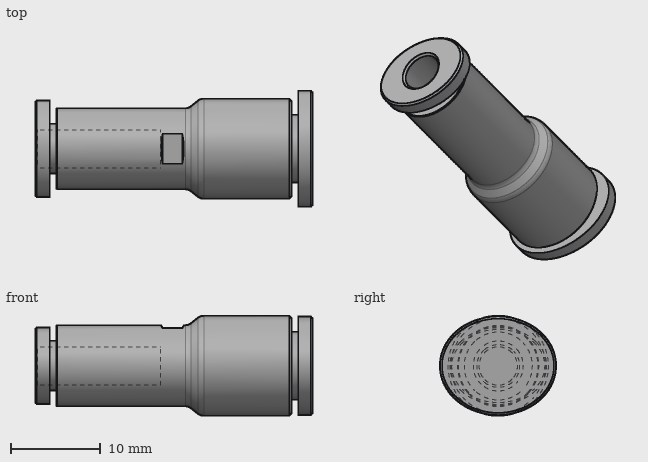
import cadquery as cq
import math

length = 31.05

small_dia = 9.07
large_dia = 11.2
body_start = 2.35
body_end = 28.7
small_edge_chamfer = 0.1
large_edge_chamfer = 0.3

shoulder_start = 17.15
shoulder_end = 18.47
shoulder_radius = 1.0
selection_margin = 0.03

collar_thickness = 1.65
small_collar_width = 10.85
small_collar_height = 8.6
small_collar_chamfer = 0.22
large_collar_width = 13.0
large_collar_height = 11.02
large_collar_chamfer = 0.25
small_neck_dia = 5.6
large_neck_dia = 7.6

socket_dia = 4.3
socket_depth = 13.97
socket_chamfer = 0.25

flat_start = 14.25
flat_end = 16.45
flat_height = 4.22
flat_wall_angle = 30.0


def rod(dia, start, end):
    """Round rod on the X axis."""
    return cq.Workplane("YZ", origin=(start, 0, 0)).circle(dia / 2).extrude(end - start)


def collar(width, height, start, outer_face, chamfer):
    """Oval disc whose edge is chamfered on the face pointing away from the body."""
    disc = cq.Workplane("YZ", origin=(start, 0, 0)).ellipse(width / 2, height / 2)
    return disc.extrude(collar_thickness).faces(outer_face).edges().chamfer(chamfer)


def stepped_body():
    """Revolved body with a rounded conical shoulder and chamfered ends."""
    profile = [
        (body_start, 0),
        (body_start, small_dia / 2),
        (shoulder_start, small_dia / 2),
        (shoulder_end, large_dia / 2),
        (body_end, large_dia / 2),
        (body_end, 0),
    ]
    body = cq.Workplane("XY").polyline(profile).close().revolve(360, (0, 0, 0), (1, 0, 0))
    body = body.faces("<X").edges().chamfer(small_edge_chamfer)
    body = body.faces(">X").edges().chamfer(large_edge_chamfer)
    for corner in (shoulder_start, shoulder_end):
        slab_start = (corner - selection_margin, -large_dia, -large_dia)
        slab_end = (corner + selection_margin, large_dia, large_dia)
        corner_circle = cq.selectors.BoxSelector(slab_start, slab_end)
        body = body.edges("%CIRCLE").edges(corner_circle).fillet(shoulder_radius)
    return body


def flat_cutter():
    """Trapezoidal block reaching from the flat up past the top of the small body."""
    cutter_top = large_dia / 2
    wall_run = (cutter_top - flat_height) * math.tan(math.radians(flat_wall_angle))
    outline = [
        (flat_start, flat_height),
        (flat_end, flat_height),
        (flat_end + wall_run, cutter_top),
        (flat_start - wall_run, cutter_top),
    ]
    return cq.Workplane("XZ").polyline(outline).close().extrude(small_dia / 2, both=True)


def socket_cutter():
    """Blind tube bore with a chamfered mouth."""
    mouth_radius = socket_dia / 2 + socket_chamfer
    outline = [
        (0, 0),
        (0, mouth_radius),
        (socket_chamfer, socket_dia / 2),
        (socket_depth, socket_dia / 2),
        (socket_depth, 0),
    ]
    return cq.Workplane("XY").polyline(outline).close().revolve(360, (0, 0, 0), (1, 0, 0))


large_collar_start = length - collar_thickness

small_neck = rod(small_neck_dia, collar_thickness, body_start)
large_neck = rod(large_neck_dia, body_end, large_collar_start)
small_collar = collar(small_collar_width, small_collar_height, 0, "<X", small_collar_chamfer)
large_collar = collar(
    large_collar_width, large_collar_height, large_collar_start, ">X", large_collar_chamfer
)

result = stepped_body().cut(flat_cutter())
for end_part in (small_neck, large_neck, small_collar, large_collar):
    result = result.union(end_part)
result = result.cut(socket_cutter())